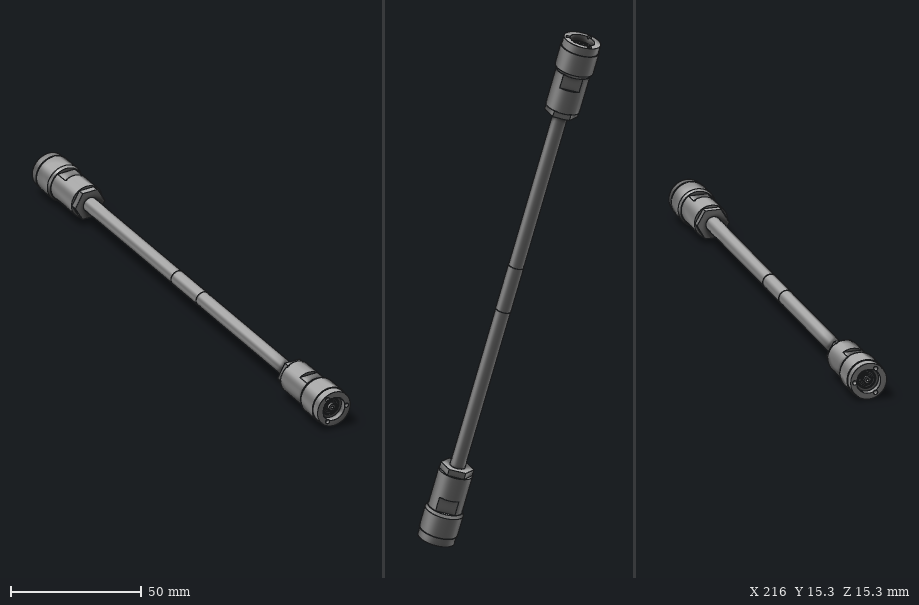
import cadquery as cq
import math

LENGTH = 216.0

NUT_DIAMETER = 15.3
NUT_RIM_DIAMETER = 14.7
NUT_RIM_LENGTH = 3.5
NUT_LENGTH = 13.4
NUT_CHAMFER_LENGTH = 1.3
NUT_CHAMFER_DEPTH = 0.6
NUT_BORE_DIAMETER = 9.7

INDENT_COUNT = 3
INDENT_RADIUS = 0.9
INDENT_CIRCLE_RADIUS = 5.6

NECK_START = 2.5
SOCKET_DIAMETER = 7.5
SOCKET_DEPTH = 0.9
BARREL_DIAMETER = 13.5
BARREL_END = 29.0
BARREL_ACROSS_FLATS = 11.2
FLAT_END = 19.2
HEX_ACROSS_FLATS = 11.5
HEX_SIDES = 6
HEX_ACROSS_CORNERS = HEX_ACROSS_FLATS / math.cos(math.pi / HEX_SIDES)
HEX_END = 31.5

DISC_DIAMETER = 6.5
GROOVE_OUTER_DIAMETER = 5.2
GROOVE_INNER_DIAMETER = 3.9
GROOVE_DEPTH = 0.5
PIN_DIAMETER = 2.8
PIN_PROJECTION = 1.3
PIN_HOLE_DIAMETER = 1.0

CABLE_DIAMETER = 6.0
SLEEVE_DIAMETER = 6.3
SLEEVE_START = 97.8
SLEEVE_LENGTH = 19.0


def cylinder(start, end, diameter):
    """Round bar along X between two stations."""
    return cq.Workplane("YZ", origin=(start, 0, 0)).circle(diameter / 2).extrude(end - start)


def make_nut():
    """Bored coupling nut with a slim front rim, a rear chamfer and indents in its face."""
    bore_radius = NUT_BORE_DIAMETER / 2
    rim_radius = NUT_RIM_DIAMETER / 2
    outer_radius = NUT_DIAMETER / 2
    profile = [
        (0, bore_radius),
        (0, rim_radius),
        (NUT_RIM_LENGTH, rim_radius),
        (NUT_RIM_LENGTH, outer_radius),
        (NUT_LENGTH - NUT_CHAMFER_LENGTH, outer_radius),
        (NUT_LENGTH, outer_radius - NUT_CHAMFER_DEPTH),
        (NUT_LENGTH, bore_radius),
    ]
    nut = cq.Workplane("XY").polyline(profile).close().revolve(360, (0, 0, 0), (1, 0, 0))
    for index in range(INDENT_COUNT):
        angle = 2 * math.pi * index / INDENT_COUNT
        center = (0, INDENT_CIRCLE_RADIUS * math.cos(angle), INDENT_CIRCLE_RADIUS * math.sin(angle))
        nut = nut.cut(cq.Workplane("YZ", origin=center).sphere(INDENT_RADIUS))
    return nut


def make_body():
    """Neck, flatted barrel and hexagon in a row, with a socket in the neck for the contact."""
    neck = cylinder(NECK_START, NUT_LENGTH, NUT_BORE_DIAMETER)
    flat_length = FLAT_END - NUT_LENGTH
    between_flats = (
        cq.Workplane("YZ", origin=(NUT_LENGTH, 0, 0))
        .rect(BARREL_DIAMETER, BARREL_ACROSS_FLATS)
        .extrude(flat_length)
    )
    flatted = cylinder(NUT_LENGTH, FLAT_END, BARREL_DIAMETER).intersect(between_flats)
    barrel = cylinder(FLAT_END, BARREL_END, BARREL_DIAMETER)
    hexagon = (
        cq.Workplane("YZ", origin=(BARREL_END, 0, 0))
        .polygon(HEX_SIDES, HEX_ACROSS_CORNERS)
        .extrude(HEX_END - BARREL_END)
    )
    socket = cylinder(NECK_START, NECK_START + SOCKET_DEPTH, SOCKET_DIAMETER)
    return neck.union(flatted).union(barrel).union(hexagon).cut(socket)


def make_contact():
    """Grooved insulating disc carrying the hollow centre pin."""
    back = NECK_START + SOCKET_DEPTH
    disc = cylinder(NECK_START, back, DISC_DIAMETER)
    groove_floor = NECK_START + GROOVE_DEPTH
    groove = cylinder(NECK_START, groove_floor, GROOVE_OUTER_DIAMETER).cut(
        cylinder(NECK_START, groove_floor, GROOVE_INNER_DIAMETER)
    )
    tip = NECK_START - PIN_PROJECTION
    pin = cylinder(tip, back, PIN_DIAMETER)
    hole = cylinder(tip, back, PIN_HOLE_DIAMETER)
    return disc.cut(groove).union(pin).cut(hole)


def make_cable():
    """Plain round cable between the two hexagonal ends."""
    return cylinder(HEX_END, LENGTH - HEX_END, CABLE_DIAMETER)


def make_sleeve():
    """Thin tube around the middle of the cable."""
    sleeve_end = SLEEVE_START + SLEEVE_LENGTH
    outer = cylinder(SLEEVE_START, sleeve_end, SLEEVE_DIAMETER)
    return outer.cut(cylinder(SLEEVE_START, sleeve_end, CABLE_DIAMETER))


solids = [make_cable().val(), make_sleeve().val()]
for make in (make_nut, make_body, make_contact):
    near = make().val()
    solids.append(near)
    solids.append(near.mirror("YZ", basePointVector=(LENGTH / 2, 0, 0)))

result = cq.Compound.makeCompound(solids)